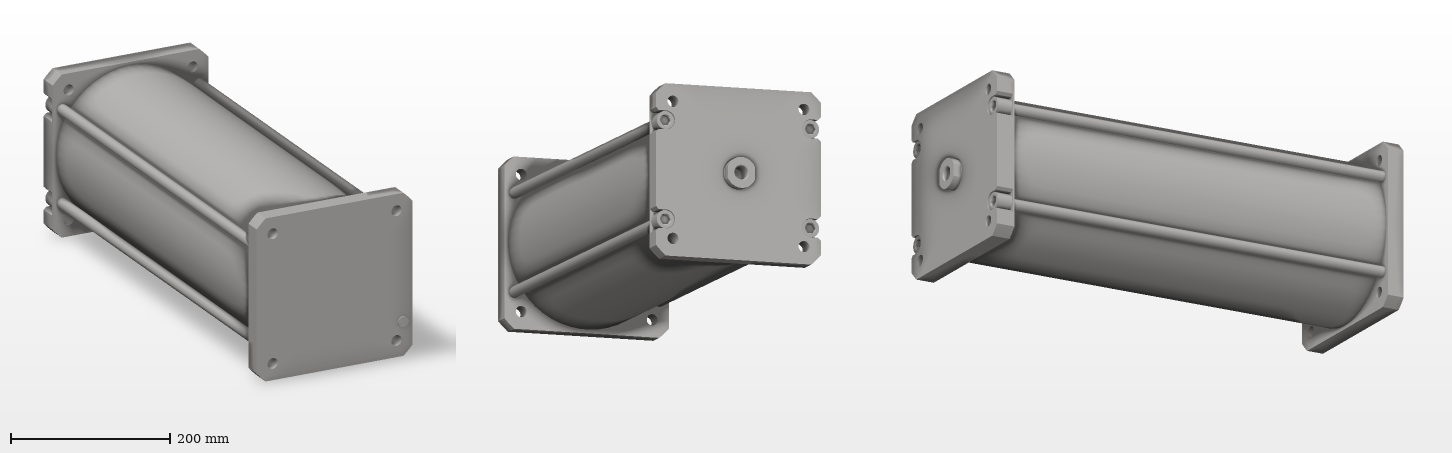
import cadquery as cq
import math

total_length = 599.0
x_min = -total_length / 2
x_max = total_length / 2
rod_projection = 11.5
long_tie_projection = 2.0
front_thickness = 25.0
rear_thickness = 23.0

front_face = x_min + rod_projection
tube_start = front_face + front_thickness
rear_face = x_max - long_tie_projection
tube_end = rear_face - rear_thickness

plate_side = 220.0
corner_circle_diameter = 293.5
mount_hole_diameter = 14.5
mount_hole_spacing = 175.0

tube_diameter = 210.5

tie_diameter = 14.5
tie_spacing_y = 193.5
tie_spacing_z = 126.5
head_diameter = 23.5
head_recess = 2.0
socket_sides = 6
socket_across_corners = 14.5
socket_across_flats = socket_across_corners * math.cos(math.pi / socket_sides)
socket_depth = 8.0
socket_lead_in_diameter = 15.0
socket_lead_in_depth = 0.9
head_start = front_face + head_recess

pocket_diameter = 24.0
pocket_depth = 23.0
mouth_chamfer = 3.5
pocket_floor = front_face + pocket_depth

rod_diameter = 39.5
rod_hole_chamfer = 1.0
flat_width = 36.0
flat_length = 10.0
bore_diameter = 17.5
bore_depth = 24.0
bore_tip_depth = 5.5
bore_chamfer = 1.0

tie_centres = [
    (side_y * tie_spacing_y / 2, side_z * tie_spacing_z / 2)
    for side_y in (-1, 1)
    for side_z in (-1, 1)
]


def section_plane(x):
    """Workplane across the axis at x, with local axes Y and Z."""
    return cq.Workplane("YZ", origin=(x, 0, 0))


def cylinder_x(diameter, start, end, y=0.0, z=0.0):
    """Cylinder along X from start to end, on the axis through (y, z)."""
    return section_plane(start).center(y, z).circle(diameter / 2).extrude(end - start)


def revolve_about_axis(profile):
    """Full turn of a closed profile about the cylinder axis."""
    return profile.revolve(360, (x_min, 0, 0), (x_max, 0, 0))


def make_plate(start, thickness):
    """Square plate with turned corners, four mounting holes and four tie rod holes."""
    end = start + thickness
    plate = section_plane(start).rect(plate_side, plate_side).extrude(thickness)
    plate = plate.intersect(cylinder_x(corner_circle_diameter, start, end))
    mount_holes = (
        section_plane(start)
        .rect(mount_hole_spacing, mount_hole_spacing, forConstruction=True)
        .vertices()
        .circle(mount_hole_diameter / 2)
        .extrude(thickness)
    )
    plate = plate.cut(mount_holes)
    for y, z in tie_centres:
        plate = plate.cut(cylinder_x(tie_diameter, start, end, y, z))
    return plate


def head_pocket(y, z):
    """Round pocket with a slot to the plate side, chamfered at its mouth."""
    side = math.copysign(1, y)
    edge = side * plate_side / 2
    chamfer_start = edge - side * mouth_chamfer
    half_slot = pocket_diameter / 2
    half_mouth = half_slot + mouth_chamfer
    slot = (
        section_plane(front_face)
        .moveTo(y, z - half_slot)
        .lineTo(chamfer_start, z - half_slot)
        .lineTo(edge, z - half_mouth)
        .lineTo(edge, z + half_mouth)
        .lineTo(chamfer_start, z + half_slot)
        .lineTo(y, z + half_slot)
        .close()
        .extrude(pocket_depth)
    )
    return cylinder_x(pocket_diameter, front_face, pocket_floor, y, z).union(slot)


def rod_hole():
    """Hole for the piston rod with a small conical lead-in at the front face."""
    radius = rod_diameter / 2
    profile = (
        cq.Workplane("XY")
        .moveTo(front_face, 0)
        .lineTo(front_face, radius + rod_hole_chamfer)
        .lineTo(front_face + rod_hole_chamfer, radius)
        .lineTo(tube_start, radius)
        .lineTo(tube_start, 0)
        .close()
    )
    return revolve_about_axis(profile)


def make_front_plate():
    """End plate with the piston rod hole and the four head pockets."""
    plate = make_plate(front_face, front_thickness).cut(rod_hole())
    for y, z in tie_centres:
        plate = plate.cut(head_pocket(y, z))
    return plate


def head_socket(y, z):
    """Hexagon socket with a shallow conical lead-in."""
    hexagon = (
        section_plane(head_start)
        .center(y, z)
        .polygon(socket_sides, socket_across_corners)
        .extrude(socket_depth)
    )
    lead_in = (
        section_plane(head_start)
        .center(y, z)
        .circle(socket_lead_in_diameter / 2)
        .workplane(offset=socket_lead_in_depth)
        .circle(socket_across_flats / 2)
        .loft()
    )
    return hexagon.union(lead_in)


def make_tie_rod(y, z):
    """Tie rod with a socket head; the one at +Y, -Z is longer than the rest."""
    is_long = y > 0 and z < 0
    rod_end = x_max if is_long else rear_face
    head = cylinder_x(head_diameter, head_start, pocket_floor, y, z)
    shank = cylinder_x(tie_diameter, pocket_floor, rod_end, y, z)
    return head.union(shank).cut(head_socket(y, z))


def rod_bore():
    """Blind bore with a chamfered mouth and a conical bottom."""
    radius = bore_diameter / 2
    bore_end = x_min + bore_depth
    profile = (
        cq.Workplane("XY")
        .moveTo(x_min, 0)
        .lineTo(x_min, radius + bore_chamfer)
        .lineTo(x_min + bore_chamfer, radius)
        .lineTo(bore_end, radius)
        .lineTo(bore_end + bore_tip_depth, 0)
        .close()
    )
    return revolve_about_axis(profile)


def make_piston_rod():
    """Round rod through the front plate, with two flats and a bore in its nose."""
    rod = cylinder_x(rod_diameter, x_min, tube_start).cut(rod_bore())
    for side in (-1, 1):
        flat_centre_y = side * (flat_width + rod_diameter) / 2
        flat = section_plane(x_min).center(flat_centre_y, 0).rect(rod_diameter, rod_diameter)
        rod = rod.cut(flat.extrude(flat_length))
    return rod


front_plate = make_front_plate()
rear_plate = make_plate(tube_end, rear_thickness)
tube = cylinder_x(tube_diameter, tube_start, tube_end)
piston_rod = make_piston_rod()
tie_rods = [make_tie_rod(y, z) for y, z in tie_centres]

result = cq.Compound.makeCompound(
    [
        front_plate.val(),
        rear_plate.val(),
        tube.val(),
        piston_rod.val(),
        *[tie_rod.val() for tie_rod in tie_rods],
    ]
)